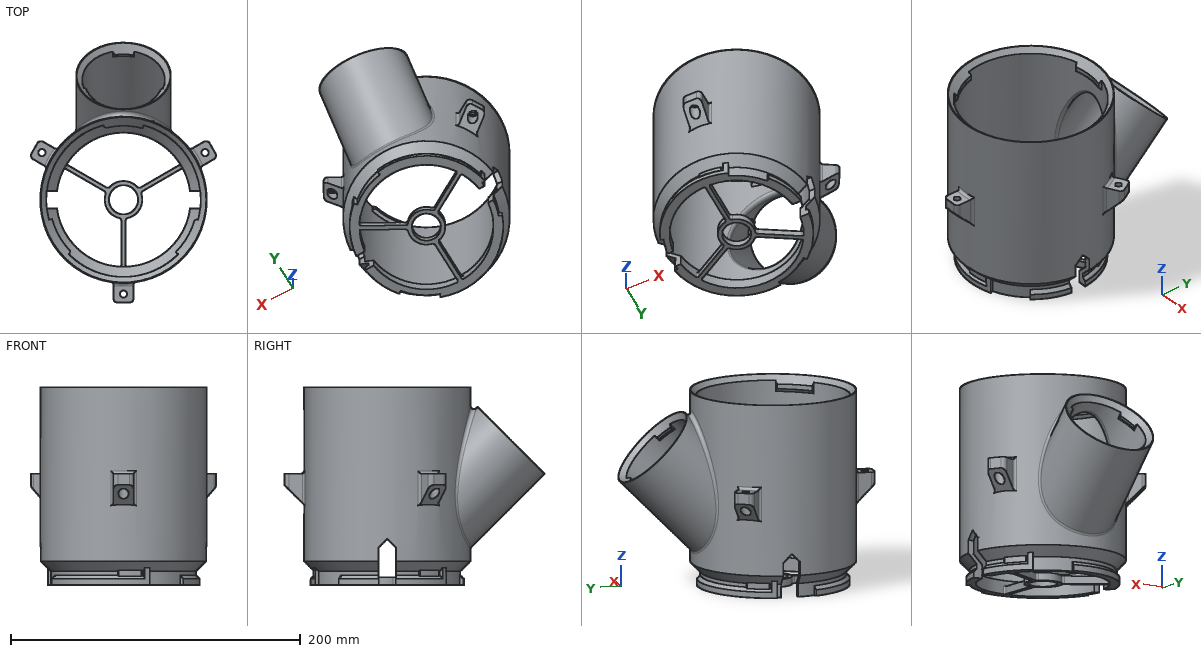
import cadquery as cq
import math

TUBE_TOP = 136.5
TUBE_RADIUS = 57.5
WALL = 4.25
TUBE_BORE_RADIUS = TUBE_RADIUS - WALL
RIM_WIDTH = 0.5

NECK_RADIUS = 50.5
NECK_BORE_RADIUS = NECK_RADIUS - WALL
SHOULDER_BASE = 9.5
SHOULDER_TOP = SHOULDER_BASE + TUBE_RADIUS - NECK_RADIUS
BORE_CONE_TOP = SHOULDER_BASE + TUBE_BORE_RADIUS - NECK_BORE_RADIUS
FLANGE_RADIUS = 53.0
FLANGE_EDGE_HEIGHT = 4.25
FLANGE_START = 201.0
FLANGE_SPAN = 89.0
STOP_SPAN = 4.0
STOP_HEIGHT = 12.0
DETENT_RADIUS = 51.25
DETENT_GAP = 6.0
DETENT_SPAN = 17.5
DETENT_RAMP = 1.2

LUG_SPAN = 30.0
LUG_DEPTH = 2.25
LUG_BOTTOM_DEPTH = 11.6
LUG_LEAD_IN = 1.2
BRANCH_LUG_DEPTH = 1.75
BRANCH_LUG_BOTTOM_DEPTH = 9.0

BRANCH_ANGLE = 45.0
BRANCH_RADIUS = 32.75
BRANCH_BORE_RADIUS = BRANCH_RADIUS - WALL
BRANCH_AXIS_HEIGHT = 14.4
BRANCH_LENGTH = 120.75
BRANCH_FILLET = 2.2
BRANCH_BORE_FILLET = 2.5

TAB_ANGLES = (-90.0, 30.0, 150.0)
TAB_REACH = 71.0
TAB_WIDTH = 14.0
TAB_TOP = 76.75
TAB_EDGE_BOTTOM = 69.0
TAB_CORNER_RADIUS = 3.0
TAB_ROOT_FILLET = 2.0
TAB_HOLE_DIAMETER = 4.8
TAB_HOLE_RADIUS = 65.0
TAB_RECESS_DIAMETER = 7.0
TAB_SEAT_THICKNESS = 4.0

HUB_RADIUS = 13.0
HUB_BORE_RADIUS = 10.0
HUB_HEIGHT = 5.4
SPOKE_WIDTH = 3.0
SPOKE_HUB_FILLET = 2.0
SPOKE_END_FILLET = 1.25

SLOT_WIDTH = 12.0
SLOT_SHOULDER = 25.75

OVERLAP = 1.0


def revolve_profile(points, start=0.0, span=360.0):
    """Revolve (radius, height) points about Z, counter-clockwise from a start angle."""
    solid = cq.Workplane("XZ").polyline(points).close().revolve(span, (0, 0, 0), (0, 1, 0))
    return solid.rotate((0, 0, 0), (0, 0, 1), start)


def polar(radius, degrees):
    angle = math.radians(degrees)
    return (radius * math.cos(angle), radius * math.sin(angle))


def place_branch(solid):
    """Move a solid built along Z onto the leaning branch axis."""
    return solid.rotate((0, 0, 0), (1, 0, 0), -BRANCH_ANGLE).translate((0, 0, BRANCH_AXIS_HEIGHT))


def make_outer_body():
    """Solid tube and shoulder joined to the solid branch."""
    tube = revolve_profile([
        (0, 0),
        (NECK_RADIUS, 0),
        (NECK_RADIUS, SHOULDER_BASE),
        (TUBE_RADIUS, SHOULDER_TOP),
        (TUBE_RADIUS, TUBE_TOP),
        (0, TUBE_TOP),
    ])
    start = BRANCH_RADIUS
    branch = cq.Workplane("XY").workplane(offset=start).circle(BRANCH_RADIUS).extrude(BRANCH_LENGTH - start)
    body = tube.union(place_branch(branch))
    joint = body.edges(cq.selectors.BoxSelector(
        (-BRANCH_RADIUS - OVERLAP, TUBE_RADIUS / 2, SHOULDER_TOP + OVERLAP),
        (BRANCH_RADIUS + OVERLAP, TUBE_RADIUS + OVERLAP, TUBE_TOP - OVERLAP)))
    return joint.fillet(BRANCH_FILLET)


def add_tab(body, angle):
    """Add one mounting tab with a sloping underside to the solid body, at an angle about Z."""
    slope_rise = TAB_REACH - NECK_RADIUS
    block = cq.Workplane("XZ").polyline([
        (NECK_RADIUS, TAB_EDGE_BOTTOM - slope_rise),
        (TAB_REACH, TAB_EDGE_BOTTOM),
        (TAB_REACH, TAB_TOP),
        (NECK_RADIUS, TAB_TOP),
    ]).close().extrude(TAB_WIDTH / 2, both=True)
    block = block.edges("|Z and >X").fillet(TAB_CORNER_RADIUS)
    turned = body.rotate((0, 0, 0), (0, 0, 1), -angle).union(block)
    underside_root = TAB_EDGE_BOTTOM - (TAB_REACH - TUBE_RADIUS)
    root = cq.selectors.BoxSelector(
        (NECK_RADIUS, -TAB_WIDTH / 2 - OVERLAP, underside_root + OVERLAP),
        (TUBE_RADIUS + OVERLAP, TAB_WIDTH / 2 + OVERLAP, TAB_TOP + OVERLAP))
    turned = turned.edges(root).fillet(TAB_ROOT_FILLET)
    hole = cq.Workplane("XY").workplane(offset=underside_root).center(TAB_HOLE_RADIUS, 0)
    turned = turned.cut(hole.circle(TAB_HOLE_DIAMETER / 2).extrude(TUBE_TOP - underside_root))
    recess_depth = TAB_TOP - TAB_SEAT_THICKNESS - underside_root
    turned = turned.cut(hole.circle(TAB_RECESS_DIAMETER / 2).extrude(recess_depth))
    return turned.rotate((0, 0, 0), (0, 0, 1), angle)


def make_bore():
    """Space inside the tube and branch."""
    tube = revolve_profile([
        (0, -OVERLAP),
        (NECK_BORE_RADIUS, -OVERLAP),
        (NECK_BORE_RADIUS, SHOULDER_BASE),
        (TUBE_BORE_RADIUS, BORE_CONE_TOP),
        (TUBE_BORE_RADIUS, TUBE_TOP + OVERLAP),
        (0, TUBE_TOP + OVERLAP),
    ])
    start = BRANCH_BORE_RADIUS
    branch = cq.Workplane("XY").workplane(offset=start).circle(BRANCH_BORE_RADIUS)
    branch = branch.extrude(BRANCH_LENGTH + OVERLAP - start)
    bore = tube.union(place_branch(branch))
    joint = bore.edges(cq.selectors.BoxSelector(
        (-BRANCH_RADIUS, TUBE_RADIUS / 2, BORE_CONE_TOP + OVERLAP),
        (BRANCH_RADIUS, TUBE_RADIUS, TUBE_TOP - OVERLAP)))
    return joint.fillet(BRANCH_BORE_FILLET)


def make_mouth_flare(outer_radius, mouth):
    """45 degree cone that opens a mouth, leaving a narrow flat rim."""
    flare_radius = outer_radius - RIM_WIDTH
    return revolve_profile([
        (0, mouth - flare_radius),
        (flare_radius + OVERLAP, mouth + OVERLAP),
        (0, mouth + OVERLAP),
    ])


def make_socket_lugs(bore_radius, mouth, depth, bottom_depth):
    """Three inward lugs below a mouth, each sloping back to the bore on its underside."""
    lug_radius = bore_radius - depth
    root = bore_radius + OVERLAP
    profile = [
        (root, mouth),
        (lug_radius, mouth),
        (lug_radius, mouth - bottom_depth + depth),
        (root, mouth - bottom_depth - OVERLAP),
    ]
    lugs = cq.Workplane("XY")
    lug = revolve_profile(profile, -LUG_SPAN, LUG_SPAN)
    lug = lug.edges("|Z").edges(">Y").edges("<X").chamfer(LUG_LEAD_IN)
    for middle in (90, 210, 330):
        lugs = lugs.union(lug.rotate((0, 0, 0), (0, 0, 1), middle + LUG_SPAN / 2))
    return lugs


def make_bayonet():
    """Three flange sectors, each closed by a stop and carrying a detent on the neck."""
    root = NECK_RADIUS - OVERLAP
    flange = [
        (root, 0),
        (FLANGE_RADIUS, 0),
        (FLANGE_RADIUS, FLANGE_EDGE_HEIGHT),
        (root, FLANGE_EDGE_HEIGHT + FLANGE_RADIUS - root),
    ]
    stop = [(root, 0), (FLANGE_RADIUS, 0), (FLANGE_RADIUS, STOP_HEIGHT), (root, STOP_HEIGHT)]
    bayonet = cq.Workplane("XY")
    for turn in (0, 120, 240):
        start = FLANGE_START + turn
        end = start + FLANGE_SPAN
        detent_end = end - DETENT_GAP
        detent_start = detent_end - DETENT_SPAN
        bayonet = bayonet.union(revolve_profile(flange, start, FLANGE_SPAN))
        bayonet = bayonet.union(revolve_profile(stop, end - STOP_SPAN, STOP_SPAN))
        detent = (
            cq.Workplane("XY")
            .moveTo(*polar(root, detent_start - DETENT_RAMP))
            .lineTo(*polar(NECK_RADIUS, detent_start - DETENT_RAMP))
            .lineTo(*polar(DETENT_RADIUS, detent_start))
            .threePointArc(polar(DETENT_RADIUS, (detent_start + detent_end) / 2), polar(DETENT_RADIUS, detent_end))
            .lineTo(*polar(NECK_RADIUS, detent_end + DETENT_RAMP))
            .lineTo(*polar(root, detent_end + DETENT_RAMP))
            .close()
            .extrude(SHOULDER_BASE + DETENT_RADIUS - NECK_RADIUS)
        )
        bayonet = bayonet.union(detent)
    return bayonet


def make_hub():
    """Central ring carried by three spokes that reach the neck bore."""
    band_radius = (NECK_BORE_RADIUS + NECK_RADIUS) / 2
    band = cq.Workplane("XY").circle(band_radius).circle(NECK_BORE_RADIUS).extrude(SHOULDER_BASE)
    spider = cq.Workplane("XY").circle(HUB_RADIUS).extrude(HUB_HEIGHT).union(band)
    spoke_length = NECK_BORE_RADIUS + OVERLAP
    spoke = cq.Workplane("XY").rect(spoke_length, SPOKE_WIDTH, centered=(False, True)).extrude(HUB_HEIGHT)
    for angle in TAB_ANGLES:
        spider = spider.union(spoke.rotate((0, 0, 0), (0, 0, 1), angle))
    near = HUB_RADIUS + OVERLAP
    hub_box = cq.selectors.BoxSelector((-near, -near, 0), (near, near, HUB_HEIGHT))
    spider = spider.edges("|Z").edges(hub_box).fillet(SPOKE_HUB_FILLET)
    spoke_end = cq.selectors.BoxSelector(
        (NECK_BORE_RADIUS - OVERLAP, -SPOKE_WIDTH, HUB_HEIGHT / 4),
        (NECK_BORE_RADIUS + OVERLAP, SPOKE_WIDTH, HUB_HEIGHT + OVERLAP))
    for angle in TAB_ANGLES:
        turned = spider.rotate((0, 0, 0), (0, 0, 1), -angle)
        turned = turned.edges(spoke_end).fillet(SPOKE_END_FILLET)
        spider = turned.rotate((0, 0, 0), (0, 0, 1), angle)
    return spider.cut(cq.Workplane("XY").circle(HUB_BORE_RADIUS).extrude(HUB_HEIGHT))


def make_slots():
    """Pointed openings through the wall on the -X and +X sides, open at the bottom."""
    half = SLOT_WIDTH / 2
    outline = [
        (-half, -OVERLAP),
        (half, -OVERLAP),
        (half, SLOT_SHOULDER),
        (0, SLOT_SHOULDER + half),
        (-half, SLOT_SHOULDER),
    ]
    cutter = cq.Workplane("YZ").polyline(outline).close().extrude(TUBE_RADIUS + OVERLAP, both=True)
    core = cq.Workplane("XY").workplane(offset=-OVERLAP).circle(NECK_BORE_RADIUS - OVERLAP).extrude(TUBE_TOP)
    return cutter.cut(core)


body = make_outer_body()
for angle in TAB_ANGLES:
    body = add_tab(body, angle)
result = body.cut(make_bore())
result = result.union(make_socket_lugs(TUBE_BORE_RADIUS, TUBE_TOP, LUG_DEPTH, LUG_BOTTOM_DEPTH))
result = result.cut(make_mouth_flare(TUBE_RADIUS, TUBE_TOP))
branch_lugs = make_socket_lugs(BRANCH_BORE_RADIUS, BRANCH_LENGTH, BRANCH_LUG_DEPTH, BRANCH_LUG_BOTTOM_DEPTH)
result = result.union(place_branch(branch_lugs))
result = result.cut(place_branch(make_mouth_flare(BRANCH_RADIUS, BRANCH_LENGTH)))
result = result.union(make_bayonet()).union(make_hub()).cut(make_slots())